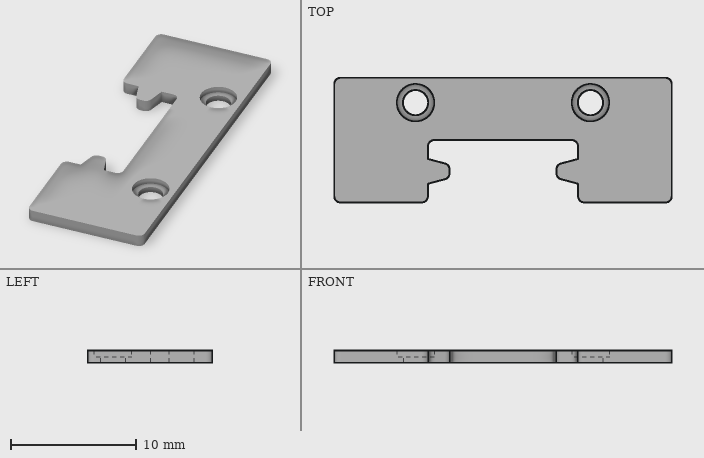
import cadquery as cq
import math

length = 27.0
width = 10.0
thickness = 1.0
corner_radius = 0.5

slot_width = 12.0
slot_depth = width / 2

tooth_root_width = 2.0
tooth_reach = 1.73
tooth_flank_angle = 15.0
tooth_tip_radius = 0.5
tooth_y = -slot_depth / 2

hole_diameter = 2.0
counterbore_diameter = 3.0
counterbore_depth = 0.5
hole_spacing = 13.99
hole_edge_distance = 2.0


def make_plate():
    """U-shaped plate with all its upright corners rounded."""
    plate = cq.Workplane("XY").box(length, width, thickness, centered=(True, True, False))
    slot = (
        cq.Workplane("XY")
        .center(0, -width / 2 + slot_depth / 2)
        .rect(slot_width, slot_depth)
        .extrude(thickness)
    )
    return plate.cut(slot).edges("|Z").fillet(corner_radius)


def make_tooth(side):
    """Tooth on one slot wall: side is -1 for the left wall, +1 for the right."""
    root_x = side * slot_width / 2
    tip_x = root_x - side * tooth_reach
    root_half = tooth_root_width / 2
    tip_half = root_half - tooth_reach * math.tan(math.radians(tooth_flank_angle))
    tooth = (
        cq.Workplane("XY")
        .polyline([
            (root_x, tooth_y - root_half),
            (tip_x, tooth_y - tip_half),
            (tip_x, tooth_y + tip_half),
            (root_x, tooth_y + root_half),
        ])
        .close()
        .extrude(thickness)
    )
    tip_side = "<X" if side > 0 else ">X"
    return tooth.faces(tip_side).edges("|Z").fillet(tooth_tip_radius)


result = make_plate()
for side in (-1, 1):
    result = result.union(make_tooth(side))

hole_y = width / 2 - hole_edge_distance
result = (
    result.faces(">Z")
    .workplane(origin=(0, 0, thickness))
    .pushPoints([(-hole_spacing / 2, hole_y), (hole_spacing / 2, hole_y)])
    .cboreHole(hole_diameter, counterbore_diameter, counterbore_depth)
)